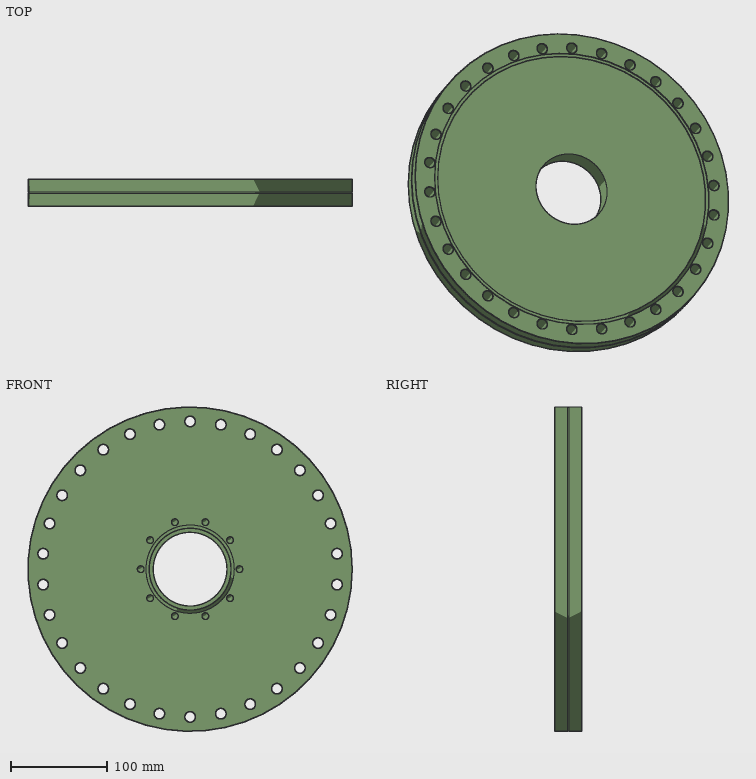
import cadquery as cq
import math

DISC_DIAMETER = 336.6
DISC_THICKNESS = 28.4
RIM_CHAMFER = 0.5
FRONT_Y = -DISC_THICKNESS / 2
BACK_Y = DISC_THICKNESS / 2

RIM_GROOVE_WIDTH = 1.65
RIM_GROOVE_DEPTH = 0.3

BORE_DIAMETER = 76.2

FRONT_RECESS_DIAMETER = 91.6
BACK_RECESS_DIAMETER = 294.04
RECESS_DEPTH = 1.8
SEAT_DEPTH = 1.2
KNIFE_SLOPE_WIDTH = 3.2
KNIFE_SLOPE_ANGLE = 20
KNIFE_FOOT_WIDTH = 0.3

OUTER_HOLE_COUNT = 30
OUTER_HOLE_DIAMETER = 10.45
OUTER_BOLT_CIRCLE = 306.3
OUTER_FIRST_ANGLE = 90
OUTER_HOLE_CHAMFER = 0.5

INNER_HOLE_COUNT = 10
INNER_HOLE_DIAMETER = 6.65
INNER_BOLT_CIRCLE = 102.4
INNER_FIRST_ANGLE = 0
INNER_HOLE_CHAMFER = 0.3
INNER_HOLE_DEPTH = 14.0
DRILL_POINT_ANGLE = 118


def revolve_about_y(points):
    """Revolve a closed (radius, y) outline a full turn about the Y axis."""
    return cq.Workplane("XY").polyline(points).close().revolve(360, (0, 0, 0), (0, 1, 0))


def make_disc():
    disc = cq.Workplane("XZ", origin=(0, BACK_Y, 0)).circle(DISC_DIAMETER / 2).extrude(DISC_THICKNESS)
    return disc.faces("<Y or >Y").edges().chamfer(RIM_CHAMFER)


def make_rim_groove():
    outer = DISC_DIAMETER / 2
    inner = outer - RIM_GROOVE_DEPTH
    half_width = RIM_GROOVE_WIDTH / 2
    return revolve_about_y(
        [(inner, -half_width), (outer, -half_width), (outer, half_width), (inner, half_width)]
    )


def make_bore():
    return cq.Workplane("XZ", origin=(0, BACK_Y, 0)).circle(BORE_DIAMETER / 2).extrude(DISC_THICKNESS)


def make_front_seal_recess(diameter):
    """Recess whose floor rises inward as a cone to the knife edge, then drops to a flat seat."""
    wall = diameter / 2
    knife = wall - KNIFE_SLOPE_WIDTH
    knife_foot = knife - KNIFE_FOOT_WIDTH
    floor_y = FRONT_Y + RECESS_DEPTH
    knife_y = floor_y - KNIFE_SLOPE_WIDTH * math.tan(math.radians(KNIFE_SLOPE_ANGLE))
    seat_y = FRONT_Y + SEAT_DEPTH
    return revolve_about_y(
        [
            (0, FRONT_Y),
            (wall, FRONT_Y),
            (wall, floor_y),
            (knife, knife_y),
            (knife_foot, seat_y),
            (0, seat_y),
        ]
    )


def make_back_seal_recess(diameter):
    return make_front_seal_recess(diameter).mirror("XZ")


def make_through_hole():
    """Straight hole chamfered at both faces."""
    radius = OUTER_HOLE_DIAMETER / 2
    mouth = radius + OUTER_HOLE_CHAMFER
    return revolve_about_y(
        [
            (0, FRONT_Y),
            (mouth, FRONT_Y),
            (radius, FRONT_Y + OUTER_HOLE_CHAMFER),
            (radius, BACK_Y - OUTER_HOLE_CHAMFER),
            (mouth, BACK_Y),
            (0, BACK_Y),
        ]
    )


def make_blind_hole():
    """Drilled hole with a chamfered mouth and a conical bottom."""
    radius = INNER_HOLE_DIAMETER / 2
    mouth = radius + INNER_HOLE_CHAMFER
    shoulder_y = FRONT_Y + INNER_HOLE_DEPTH
    tip_y = shoulder_y + radius / math.tan(math.radians(DRILL_POINT_ANGLE / 2))
    return revolve_about_y(
        [
            (0, FRONT_Y),
            (mouth, FRONT_Y),
            (radius, FRONT_Y + INNER_HOLE_CHAMFER),
            (radius, shoulder_y),
            (0, tip_y),
        ]
    )


def cut_hole_circle(body, hole, count, bolt_circle, first_angle):
    """Cut equally spaced copies of a hole, placed on a circle about the Y axis."""
    for index in range(count):
        angle = math.radians(first_angle + index * 360 / count)
        x = bolt_circle / 2 * math.cos(angle)
        z = bolt_circle / 2 * math.sin(angle)
        body = body.cut(hole.translate((x, 0, z)))
    return body


flange = make_disc().cut(make_rim_groove()).cut(make_bore())
flange = flange.cut(make_front_seal_recess(FRONT_RECESS_DIAMETER))
flange = flange.cut(make_back_seal_recess(BACK_RECESS_DIAMETER))
flange = cut_hole_circle(
    flange, make_through_hole(), OUTER_HOLE_COUNT, OUTER_BOLT_CIRCLE, OUTER_FIRST_ANGLE
)
flange = cut_hole_circle(
    flange, make_blind_hole(), INNER_HOLE_COUNT, INNER_BOLT_CIRCLE, INNER_FIRST_ANGLE
)
result = flange